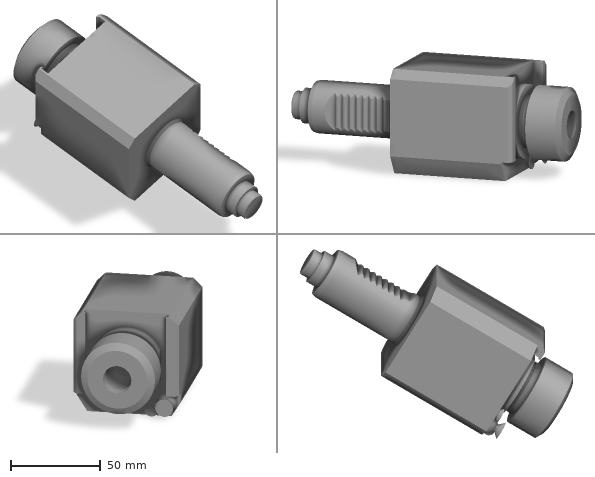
import cadquery as cq
import math


width = 60.0
half = width / 2
front_face_x = -66.0
top_chamfer = 5.0
left_bottom_chamfer_y, left_bottom_chamfer_z = 7.0, 11.0
right_bottom_chamfer_y, right_bottom_chamfer_z = 5.0, 8.0
rail_height = 6.0
rail_front_x = front_face_x - rail_height
rail_front_chamfer = 2.0
rail_lip_y = 23.0
rail_groove_y = 24.0
rail_lip_thickness = 1.0
left_rail_bottom_z = -18.0
right_rail_bottom_z = -16.5

flange_radius = 21.0
flange_flat_y = 19.0
flange_thickness = 5.0
flange_front_x = front_face_x - flange_thickness

nut_front_x = -97.0
nut_length = 20.0
nut_back_x = nut_front_x + nut_length
nut_radius = 21.0
nut_face_radius = 17.0
nut_bevel_length = (nut_radius - nut_face_radius) * math.tan(math.radians(30))
collar_radius = 16.0
collar_length = 3.5
neck_radius = 15.0
bore_radius = 8.0
bore_depth = 30.0

shank_radius = 15.0
shank_length = 54.66
root_radius = 16.0
relief_radius = 14.5
relief_end_x = 2.0
taper_start_x = 52.0
taper_end_radius = 14.5
shank_edge_radius = 0.5
journal_radius = 10.0
journal_end_x = 61.1
tip_radius = 8.0
tip_end_x = 66.66
tip_bevel_length = 0.66
tip_bevel_depth = 0.4

tooth_count = 8
tooth_pitch = 4.0
first_valley_x = 11.7
valley_y = 10.45
crest_y = 12.0
ramp_start_x = 4.2
ramp_end_x = 6.7

nozzle_y, nozzle_z = -22.2, -23.0
ball_radius = 6.0
ball_x = -64.5
nozzle_neck_radius = 2.5
mouth_radius = 5.1
mouth_x = -73.65

screw_y, screw_z = -14.0, -26.0
screw_head_radius = 4.0
screw_shaft_radius = 2.0
screw_head_x = -68.8
screw_rim_thickness = 0.7

seat_depth = 2.0


def revolve_about_x(profile, y=0.0, z=0.0):
    """Turn a closed (x, radius) profile about the line parallel to X through (y, z)."""
    turned = profile.close().revolve(360, (0, 0, 0), (1, 0, 0))
    return turned.translate((0, y, z))


def box_between(x0, x1, y0, y1, z0, z1):
    size = (x1 - x0, y1 - y0, z1 - z0)
    return cq.Workplane("XY").box(*size, centered=False).translate((x0, y0, z0))


def make_housing():
    outline = [
        (half - top_chamfer, half),
        (half, half - top_chamfer),
        (half, left_bottom_chamfer_z - half),
        (half - left_bottom_chamfer_y, -half),
        (right_bottom_chamfer_y - half, -half),
        (-half, right_bottom_chamfer_z - half),
        (-half, half - top_chamfer),
        (top_chamfer - half, half),
    ]
    block = cq.Workplane("YZ", origin=(rail_front_x, 0, 0)).polyline(outline).close().extrude(-rail_front_x)
    lip_back_x = rail_front_x + rail_lip_thickness

    block = block.cut(box_between(rail_front_x, front_face_x, -rail_lip_y, rail_lip_y, -half, half))
    block = block.cut(box_between(lip_back_x, front_face_x, -rail_groove_y, rail_groove_y, -half, half))

    block = block.cut(box_between(rail_front_x, front_face_x, 0, half, -half, left_rail_bottom_z))
    block = block.cut(box_between(rail_front_x, front_face_x, -half, 0, -half, right_rail_bottom_z))

    for side in (-1, 1):
        corner = [
            (rail_front_x, side * half),
            (rail_front_x + rail_front_chamfer, side * half),
            (rail_front_x, side * (half - rail_front_chamfer)),
        ]
        bevel = cq.Workplane("XY", origin=(0, 0, -half)).polyline(corner).close().extrude(width)
        block = block.cut(bevel)
    return block


def make_flange():
    disc = cq.Workplane("YZ", origin=(flange_front_x, 0, 0)).circle(flange_radius)
    disc = disc.extrude(flange_thickness + seat_depth)
    return disc.intersect(
        box_between(flange_front_x, 0, -flange_flat_y, flange_flat_y, -half, half)
    )


def make_nut():
    collar_end_x = nut_back_x + collar_length
    profile = (
        cq.Workplane("XY")
        .moveTo(nut_front_x, 0)
        .lineTo(nut_front_x, nut_face_radius)
        .lineTo(nut_front_x + nut_bevel_length, nut_radius)
        .lineTo(nut_back_x, nut_radius)
        .lineTo(nut_back_x, collar_radius)
        .lineTo(collar_end_x, collar_radius)
        .lineTo(collar_end_x, neck_radius)
        .lineTo(front_face_x, neck_radius)
        .lineTo(front_face_x, 0)
    )
    return revolve_about_x(profile)


def make_bore():
    return cq.Workplane("YZ", origin=(nut_front_x, 0, 0)).circle(bore_radius).extrude(bore_depth)


def make_shank():
    round_start_x = shank_length - shank_edge_radius
    round_mid = shank_edge_radius * (1 - math.sqrt(0.5))
    profile = (
        cq.Workplane("XY")
        .moveTo(-seat_depth, 0)
        .lineTo(-seat_depth, root_radius)
        .lineTo(0, root_radius)
        .lineTo(root_radius - relief_radius, relief_radius)
        .lineTo(relief_end_x, relief_radius)
        .lineTo(relief_end_x, shank_radius)
        .lineTo(taper_start_x, shank_radius)
        .lineTo(round_start_x, taper_end_radius)
        .threePointArc(
            (shank_length - round_mid, taper_end_radius - round_mid),
            (shank_length, taper_end_radius - shank_edge_radius),
        )
        .lineTo(shank_length, journal_radius)
        .lineTo(journal_end_x, journal_radius)
        .lineTo(journal_end_x, tip_radius)
        .lineTo(tip_end_x - tip_bevel_length, tip_radius)
        .lineTo(tip_end_x, tip_radius - tip_bevel_depth)
        .lineTo(tip_end_x, 0)
    )
    return revolve_about_x(profile)


def make_tooth_cutter():
    """Prism along Z whose lower edge is a run of 45 degree V teeth with flat crests."""
    valley_half_width = crest_y - valley_y
    last_valley_x = first_valley_x + (tooth_count - 1) * tooth_pitch
    outline = [(ramp_start_x, shank_radius), (ramp_end_x, crest_y)]
    for i in range(tooth_count):
        valley_x = first_valley_x + i * tooth_pitch
        outline.append((valley_x - valley_half_width, crest_y))
        outline.append((valley_x, valley_y))
        if i < tooth_count - 1:
            outline.append((valley_x + valley_half_width, crest_y))
    outline.append((last_valley_x + shank_radius - valley_y, shank_radius))
    return cq.Workplane("XY", origin=(0, 0, -half)).polyline(outline).close().extrude(width)


def make_nozzle():
    ball = cq.Workplane("XY").sphere(ball_radius).translate((ball_x, nozzle_y, nozzle_z))
    flare_end_x = mouth_x + mouth_radius - nozzle_neck_radius
    profile = (
        cq.Workplane("XY")
        .moveTo(mouth_x, 0)
        .lineTo(mouth_x, mouth_radius)
        .lineTo(flare_end_x, nozzle_neck_radius)
        .lineTo(ball_x, nozzle_neck_radius)
        .lineTo(ball_x, 0)
    )
    return ball.union(revolve_about_x(profile, nozzle_y, nozzle_z))


def make_screw():
    rim_end_x = screw_head_x + screw_rim_thickness
    cone_end_x = rim_end_x + screw_head_radius - screw_shaft_radius
    seat_x = front_face_x + seat_depth
    profile = (
        cq.Workplane("XY")
        .moveTo(screw_head_x, 0)
        .lineTo(screw_head_x, screw_head_radius)
        .lineTo(rim_end_x, screw_head_radius)
        .lineTo(cone_end_x, screw_shaft_radius)
        .lineTo(seat_x, screw_shaft_radius)
        .lineTo(seat_x, 0)
    )
    return revolve_about_x(profile, screw_y, screw_z)


result = make_housing().union(make_flange()).union(make_nut()).cut(make_bore())
result = result.union(make_shank().cut(make_tooth_cutter()))
result = result.union(make_nozzle()).union(make_screw())